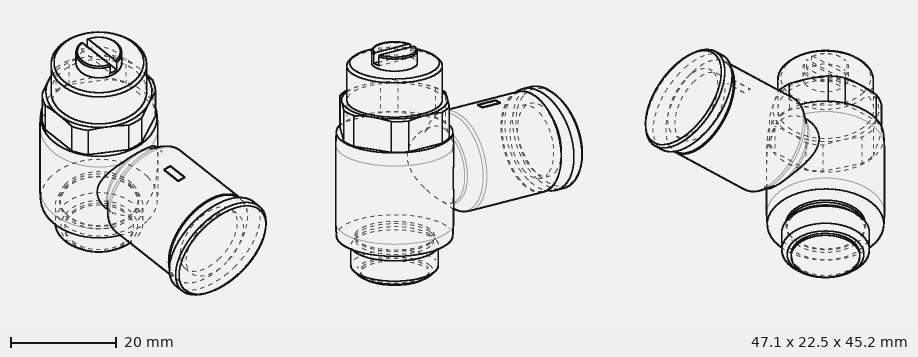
import cadquery as cq
import math


FOOT_PILOT_RADIUS = 6.5
FOOT_PILOT_HEIGHT = 0.45
FOOT_RADIUS = 8.3
FOOT_CHAMFER = 1.05
FOOT_CYLINDER_TOP = 5.6
GROOVE_DEPTH = 0.95
GROOVE_RADIUS = FOOT_RADIUS - GROOVE_DEPTH
GROOVE_BOTTOM = 6.6
GROOVE_TOP = 7.2
GROOVE_FLARE = 0.2

BODY_BOTTOM = 7.6
BODY_TOP = 28.5
BODY_RADIUS = 11.15
BODY_TAPER_HEIGHT = 2.55
BODY_TAPER = 0.15

HEX_ACROSS_FLATS = 20.0
HEX_CORNER_RADIUS = 10.75
HEX_TOP = 35.0
HEX_CHAMFER_HEIGHT = 0.3

CAP_RADIUS = 9.05
CAP_TOP = 42.5
CAP_CHAMFER = 0.55
SCREW_RADIUS = 4.35
SCREW_TOP = 45.2
SCREW_CHAMFER = 0.3
SLOT_WIDTH = 1.5
SLOT_DEPTH = 2.05

ARM_AXIS_Z = 19.45
NECK_RADIUS = 7.5
SHOULDER_START = BODY_RADIUS
SHOULDER_END = 14.0
SHOULDER_INNER_ROUND = 0.8
SHOULDER_OUTER_ROUND = 1.1
BARREL_END = 31.85
BARREL_RADIUS = 9.8
BARREL_CHAMFER = 0.15
STEM_RADIUS = 7.1
BOX_MARGIN = 0.05

RING_START = 33.65
OVERALL_LENGTH = 47.1
RING_END = OVERALL_LENGTH - BODY_RADIUS
RING_HALF_WIDTH = 11.25
RING_HALF_HEIGHT = BARREL_RADIUS
RING_CHAMFER = 0.45

MARK_START = 19.88
MARK_LENGTH = 4.15
MARK_WIDTH = 1.6
MARK_RISE = 0.1


def cylinder(radius, bottom, top):
    """Vertical cylinder on the Z axis between two levels."""
    return cq.Workplane("XY").workplane(offset=bottom).circle(radius).extrude(top - bottom)


def make_foot():
    profile = [
        (0, 0),
        (FOOT_PILOT_RADIUS, 0),
        (FOOT_PILOT_RADIUS, FOOT_PILOT_HEIGHT),
        (FOOT_RADIUS - FOOT_CHAMFER, FOOT_PILOT_HEIGHT),
        (FOOT_RADIUS, FOOT_PILOT_HEIGHT + FOOT_CHAMFER),
        (FOOT_RADIUS, FOOT_CYLINDER_TOP),
        (GROOVE_RADIUS, GROOVE_BOTTOM),
        (GROOVE_RADIUS, GROOVE_TOP),
        (GROOVE_RADIUS + GROOVE_FLARE, BODY_BOTTOM),
        (0, BODY_BOTTOM),
    ]
    return cq.Workplane("XZ").polyline(profile).close().revolve(360, (0, 0), (0, 1))


def make_body():
    end_radius = BODY_RADIUS - BODY_TAPER
    profile = [
        (0, BODY_BOTTOM),
        (end_radius, BODY_BOTTOM),
        (BODY_RADIUS, BODY_BOTTOM + BODY_TAPER_HEIGHT),
        (BODY_RADIUS, BODY_TOP - BODY_TAPER_HEIGHT),
        (end_radius, BODY_TOP),
        (0, BODY_TOP),
    ]
    return cq.Workplane("XZ").polyline(profile).close().revolve(360, (0, 0), (0, 1))


def make_hexagon():
    """Hexagon with two flats facing +Y and -Y, trimmed by a chamfered cylinder."""
    height = HEX_TOP - BODY_TOP
    across_corners = HEX_ACROSS_FLATS / math.cos(math.pi / 6)
    prism = cq.Workplane("XY").workplane(offset=BODY_TOP).polygon(6, across_corners).extrude(height)
    chamfer_width = HEX_CORNER_RADIUS - HEX_ACROSS_FLATS / 2
    blank = cylinder(HEX_CORNER_RADIUS, BODY_TOP, HEX_TOP)
    blank = blank.faces(">Z").chamfer(HEX_CHAMFER_HEIGHT, chamfer_width)
    return prism.intersect(blank)


def make_cap():
    return cylinder(CAP_RADIUS, HEX_TOP, CAP_TOP).faces(">Z").chamfer(CAP_CHAMFER)


def make_screw():
    screw = cylinder(SCREW_RADIUS, CAP_TOP, SCREW_TOP).faces(">Z").chamfer(SCREW_CHAMFER)
    slot = (
        cq.Workplane("XY")
        .workplane(offset=SCREW_TOP - SLOT_DEPTH)
        .rect(2 * SCREW_RADIUS, SLOT_WIDTH)
        .extrude(SLOT_DEPTH)
    )
    return screw.cut(slot)


def box_around_circle(x, radius):
    """Opposite corners of a thin box enclosing a circle about the X axis at position x."""
    reach = radius + BOX_MARGIN
    return (x - BOX_MARGIN, -reach, -reach), (x + BOX_MARGIN, reach, reach)


def make_arm():
    """Neck, flared shoulder, barrel and stem, turned about the arm axis."""
    profile = [
        (0, 0),
        (0, NECK_RADIUS),
        (SHOULDER_START, NECK_RADIUS),
        (SHOULDER_END, BARREL_RADIUS),
        (BARREL_END - BARREL_CHAMFER, BARREL_RADIUS),
        (BARREL_END, BARREL_RADIUS - BARREL_CHAMFER),
        (BARREL_END, STEM_RADIUS),
        (RING_START, STEM_RADIUS),
        (RING_START, 0),
    ]
    arm = cq.Workplane("XZ").polyline(profile).close().revolve(360, (0, 0), (1, 0))
    inner_edge = cq.selectors.BoxSelector(*box_around_circle(SHOULDER_START, NECK_RADIUS), boundingbox=True)
    outer_edge = cq.selectors.BoxSelector(*box_around_circle(SHOULDER_END, BARREL_RADIUS), boundingbox=True)
    arm = arm.edges(inner_edge).fillet(SHOULDER_INNER_ROUND)
    arm = arm.edges(outer_edge).fillet(SHOULDER_OUTER_ROUND)
    return arm.translate((0, 0, ARM_AXIS_Z))


def make_release_ring():
    ring = (
        cq.Workplane("YZ", origin=(RING_START, 0, ARM_AXIS_Z))
        .ellipse(RING_HALF_WIDTH, RING_HALF_HEIGHT)
        .extrude(RING_END - RING_START)
    )
    return ring.faces(">X").chamfer(RING_CHAMFER)


def make_mark():
    """Flat-topped rectangle rising from the barrel axis to just above its surface."""
    height = BARREL_RADIUS + MARK_RISE
    mark = cq.Workplane("XY").box(MARK_LENGTH, MARK_WIDTH, height, centered=(False, True, False))
    return mark.translate((MARK_START, 0, ARM_AXIS_Z))


result = make_body()
for piece in (
    make_foot(),
    make_hexagon(),
    make_cap(),
    make_screw(),
    make_arm(),
    make_release_ring(),
    make_mark(),
):
    result = result.union(piece)